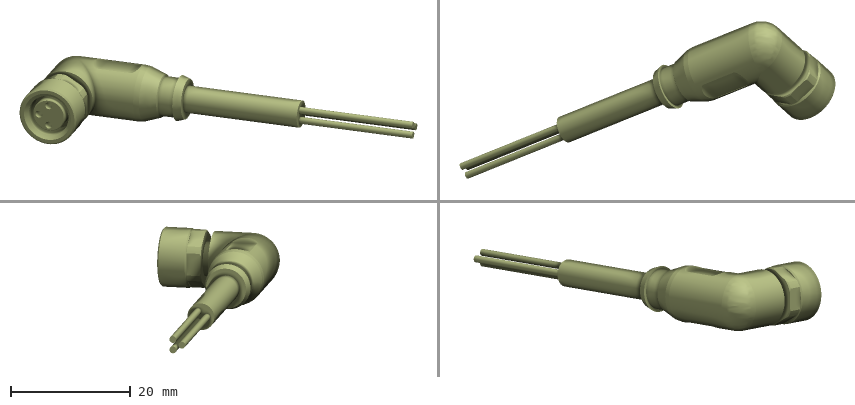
import cadquery as cq
import math


nut_diameter = 10.0
nut_radius = nut_diameter / 2
nut_front = -14.95
nut_back = -9.95
nut_chamfer = 0.25
hex_back = -7.6
hex_across_flats = 9.05
hex_corner_radius = 4.9
hex_chamfer = 0.2
mouth_radius = 4.15
bore_radius = 3.5
mouth_depth = 0.65
bore_depth = 3.9
bore_end = nut_front + bore_depth

neck_radius = 2.9
carrier_radius = 2.8
carrier_chamfer = 0.1
carrier_front = nut_front + mouth_depth
socket_radius = 0.615
socket_circle_radius = 1.75
socket_angles = (90, 180, 270)

body_radius = 4.8
body_offset = 0.2
body_front = -6.2
knuckle_tangent_offset = 0.7
knuckle_direction = 135
grip_height = 4.2
grip_width = 4.3
grip_start = 4.7
grip_end = 9.85
grip_ramp = 1.5

shoulder_start = 11.65
cone_start = 12.6
cone_start_radius = 4.65
cone_end = 15.35
cone_end_radius = 3.7
cone_bevel = 0.2
sleeve_radius = 3.35
flange_start = 18.25
flange_start_radius = 3.9
flange_end = 19.6
flange_end_radius = 3.4

total_length = 64.7
cable_end = total_length - nut_radius
wire_length = 20.0
jacket_diameter = 4.6
jacket_radius = jacket_diameter / 2
jacket_end = cable_end - wire_length
wire_radius = 0.6
wire_circle_radius = 1.05
wire_count = 3
wire_overlap = 0.65


def rod_along_y(radius, y_start, y_end, x=0.0, z=0.0):
    """Solid cylinder parallel to Y, from y_start up to y_end."""
    base = cq.Workplane("XZ", origin=(x, y_start, z))
    return base.circle(radius).extrude(y_start - y_end)


def rod_along_x(radius, x_start, x_end, y=0.0, z=0.0):
    """Solid cylinder parallel to X, from x_start up to x_end."""
    base = cq.Workplane("YZ", origin=(x_start, y, z))
    return base.circle(radius).extrude(x_end - x_start)


def revolve_about_x(outline):
    """Solid of revolution about X from (x, radius) points, closed along the axis."""
    closed = [(outline[0][0], 0)] + outline + [(outline[-1][0], 0)]
    return cq.Workplane("XY").polyline(closed).close().revolve(360, (0, 0, 0), (1, 0, 0))


def vertical_prism(corners):
    """Prism of the given XY outline, taller than the body and centred on Z = 0."""
    return cq.Workplane("XY").polyline(corners).close().extrude(2 * body_radius, both=True)


def make_knuckle():
    """Sector of an ellipsoid that touches both elbow cylinders along its flat sides."""
    tangent_ratio = knuckle_tangent_offset / body_radius
    along_mitre = math.sqrt(1 + tangent_ratio)
    across_mitre = math.sqrt(1 - tangent_ratio)
    half_angle = math.degrees(math.atan2(across_mitre, along_mitre))
    ball_sector = (
        cq.Workplane("XZ")
        .moveTo(0, -body_radius)
        .threePointArc((body_radius, 0), (0, body_radius))
        .close()
        .revolve(2 * half_angle, (0, 0, 0), (0, 1, 0))
        .rotate((0, 0, 0), (0, 0, 1), -half_angle)
    )
    stretch = cq.Matrix(
        [
            [along_mitre, 0, 0, 0],
            [0, across_mitre, 0, 0],
            [0, 0, 1, 0],
        ]
    )
    knuckle = cq.Workplane(ball_sector.val().transformGeometry(stretch))
    return knuckle.rotate((0, 0, 0), (0, 0, 1), knuckle_direction)


def make_elbow():
    """Two equal cylinders mitred at 90 degrees, rounded over the outside of the bend."""
    far = 4 * body_radius
    near = far * knuckle_tangent_offset / body_radius
    cable_side = vertical_prism([(-far, far), (far, far), (far, -far)])
    bend_sector = vertical_prism([(0, 0), (-near, far), (-far, far), (-far, near)])

    cable_leg = rod_along_x(body_radius, -far / 2, shoulder_start - body_offset)
    nut_leg = rod_along_y(body_radius, body_front, far / 2)
    legs = cable_leg.intersect(cable_side).union(nut_leg.cut(cable_side))
    return legs.cut(bend_sector).union(make_knuckle()).translate((body_offset, 0, 0))


def make_grip_cutter():
    """Tool above the body that leaves a flat with a hollow ramp curving up at each end."""
    rise = body_radius - grip_height
    ramp_radius = (grip_ramp**2 + rise**2) / (2 * rise)
    arc_top = grip_height + ramp_radius
    arc_step = ramp_radius * math.sqrt(0.5)
    return (
        cq.Workplane("XZ")
        .moveTo(grip_start, grip_height)
        .lineTo(grip_end, grip_height)
        .threePointArc((grip_end + arc_step, arc_top - arc_step), (grip_end + ramp_radius, arc_top))
        .lineTo(grip_start - ramp_radius, arc_top)
        .threePointArc((grip_start - arc_step, arc_top - arc_step), (grip_start, grip_height))
        .close()
        .extrude(grip_width / 2, both=True)
    )


def make_strain_relief():
    """Tapered cone, sleeve and end flange where the cable leaves the body."""
    return revolve_about_x(
        [
            (shoulder_start, body_radius),
            (cone_start, cone_start_radius),
            (cone_end, cone_end_radius),
            (cone_end + cone_bevel, sleeve_radius),
            (flange_start, sleeve_radius),
            (flange_start, flange_start_radius),
            (flange_end, flange_end_radius),
        ]
    )


def make_cable():
    """Round jacket with the bare wires spaced evenly around its axis."""
    cable = rod_along_x(jacket_radius, flange_end, jacket_end)
    for index in range(wire_count):
        angle = 2 * math.pi * index / wire_count
        y = wire_circle_radius * math.cos(angle)
        z = wire_circle_radius * math.sin(angle)
        cable = cable.union(rod_along_x(wire_radius, jacket_end - wire_overlap, cable_end, y, z))
    return cable


def make_nut():
    """Round nut with a hexagon behind it and a flared mouth leading into a bore."""
    round_part = rod_along_y(nut_radius, nut_front, nut_back).edges().chamfer(nut_chamfer)
    hexagon = (
        cq.Workplane("XZ", origin=(0, nut_back, 0))
        .polygon(6, hex_across_flats, circumscribed=True)
        .extrude(nut_back - hex_back)
    )
    corner_limit = rod_along_y(hex_corner_radius, nut_back, hex_back)
    corner_limit = corner_limit.faces(">Y").edges().chamfer(hex_chamfer)
    hexagon = hexagon.intersect(corner_limit)
    flare = (
        cq.Workplane("XZ", origin=(0, nut_front, 0))
        .circle(mouth_radius)
        .workplane(offset=-mouth_depth)
        .circle(bore_radius)
        .loft()
    )
    bore = rod_along_y(bore_radius, nut_front, bore_end)
    return round_part.union(hexagon).cut(flare).cut(bore)


def make_contact_carrier():
    """Contact carrier with sockets, standing in the bore of the nut, clear of its wall."""
    carrier = rod_along_y(carrier_radius, carrier_front, bore_end)
    carrier = carrier.faces("<Y").edges().chamfer(carrier_chamfer)
    for angle in socket_angles:
        x = socket_circle_radius * math.cos(math.radians(angle))
        z = socket_circle_radius * math.sin(math.radians(angle))
        carrier = carrier.cut(rod_along_y(socket_radius, carrier_front, bore_end, x, z))
    return carrier


grip_cutter = make_grip_cutter()
elbow = make_elbow().cut(grip_cutter).cut(grip_cutter.mirror("XY"))
neck = rod_along_y(neck_radius, hex_back, body_front)
cable_end_parts = make_strain_relief().union(make_cable())
nut = make_nut().union(neck).union(make_contact_carrier())
result = elbow.union(cable_end_parts).union(nut)